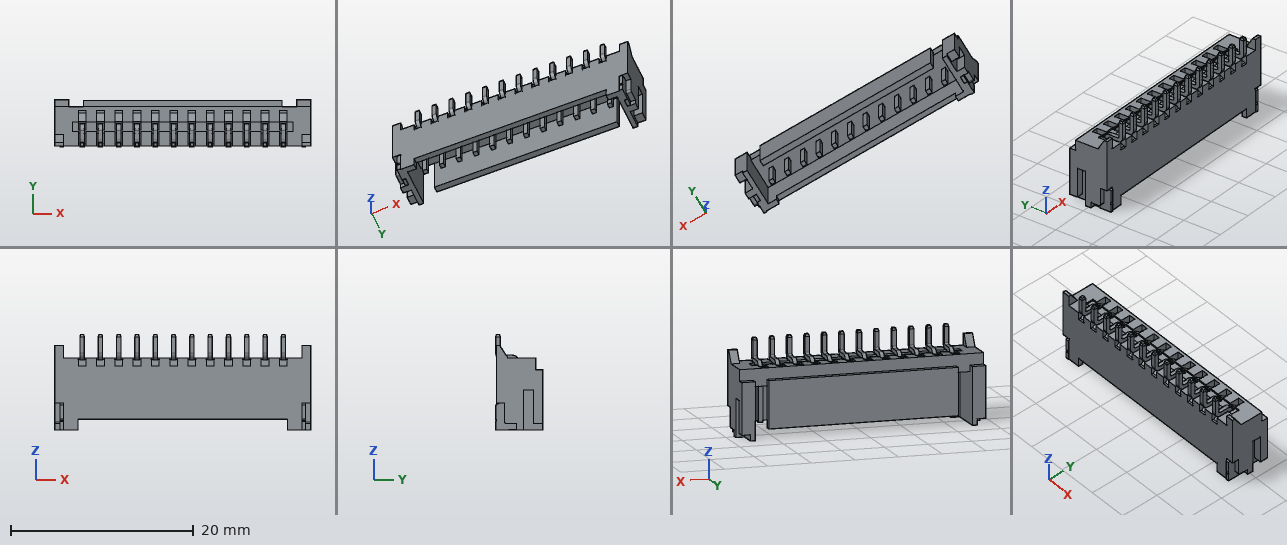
import cadquery as cq
import math

LENGTH = 28.0
HALF_LENGTH = LENGTH / 2
FRONT_Y = 0.08
DECK_BACK_Y = 4.4
BACK_Y = 5.18
DECK_Z = 7.9
SHELF_Z = 6.6
CORNER_BLOCK_LENGTH = 1.55
REAR_WALL_BACK_Y = 5.1
REAR_WALL_INSET = 3.15
FOOT_LENGTH = 2.58
FOOT_HEIGHT = 1.18

EAR_LENGTH = 0.98
EAR_TOP_Z = 9.25
EAR_TOP_BACK_Y = 0.48
EAR_BASE_BACK_Y = 1.35

CAVITY_FRONT_Y = 0.7
CAVITY_TOP_Z = 5.88

PIN_COUNT = 12
PITCH = LENGTH / (PIN_COUNT + 2)
PIN_WIDTH = 0.5
PIN_THICKNESS = 0.53
PIN_TOP_Z = 10.45
PIN_BOTTOM_Z = 1.4
TIP_HEIGHT = 0.25
TIP_INSET = 0.08
PIN_ARM_TOP_Z = 8.2
PIN_BACK_Y = 2.55
INNER_BEND = 0.22
OUTER_BEND = INNER_BEND + PIN_THICKNESS

GROOVE_LENGTH = 24.08
GROOVE_FRONT_Y = 1.7
GROOVE_BACK_Y = 2.75
GROOVE_FLOOR_Z = 7.7
SLOT_WIDTH = 0.85
SLOT_FLOOR_Z = 6.97
SLOT_BACK_Y = 4.0
RIDGE_FOOT_FRONT_Y = 0.35
RIDGE_TOP_FRONT_Y = 1.55
RIDGE_TOP_BACK_Y = 2.8
RIDGE_FOOT_BACK_Y = 3.72
PIN_WELL_FRONT_Y = 1.85
PIN_WELL_BACK_Y = 2.63
PIN_WELL_DEPTH = 0.55

END_RECESS_DEPTH = 0.98
KEYWAY_FRONT_Y = 3.05
KEYWAY_BACK_Y = 4.15
KEYWAY_TOP_Z = 4.4
END_FOOT_Z = 0.7
TAB_THICKNESS = 0.4
TAB_UPRIGHT_BACK_Y = 0.95
TAB_FOOT_BACK_Y = 2.3
TAB_TOP_Z = 2.97
TAB_CORNER_RADIUS = 0.25
TAB_BEVEL_Y = 0.45
TAB_BEVEL_HEIGHT = 0.25
TAB_NOTCH_Z = 1.05
TAB_NOTCH_DEPTH = 0.08
TAB_NOTCH_HALF_HEIGHT = 0.15
TAB_RELIEF_FRONT_Y = 1.45
TAB_RELIEF_HEIGHT = 0.08


def box(x0, x1, y0, y1, z0, z1):
    """Box between two opposite corners."""
    return cq.Workplane("XY").box(x1 - x0, y1 - y0, z1 - z0, centered=False).translate((x0, y0, z0))


def extrude_along_x(profile, x0, x1):
    """Extrude a closed YZ profile from x0 to x1."""
    return profile.extrude(x1 - x0).translate((x0, 0, 0))


def prism(points, x0, x1):
    """Straight-sided YZ outline extruded from x0 to x1."""
    return extrude_along_x(cq.Workplane("YZ").polyline(points).close(), x0, x1)


def with_mirror(solid):
    """Add the copy of a left-end feature at the right end."""
    return solid.union(solid.mirror("YZ"))


def make_shell():
    foot_inner_x = HALF_LENGTH - FOOT_LENGTH
    rear_wall_x = HALF_LENGTH - REAR_WALL_INSET
    cavity_x = HALF_LENGTH - CORNER_BLOCK_LENGTH
    corner_block = box(-HALF_LENGTH, -cavity_x, DECK_BACK_Y, BACK_Y, 0, SHELF_Z)
    rear_wall = box(-rear_wall_x, rear_wall_x, DECK_BACK_Y, REAR_WALL_BACK_Y, FOOT_HEIGHT, SHELF_Z)
    ear = prism(
        [
            (FRONT_Y, DECK_Z),
            (EAR_BASE_BACK_Y, DECK_Z),
            (EAR_TOP_BACK_Y, EAR_TOP_Z),
            (FRONT_Y, EAR_TOP_Z),
        ],
        -HALF_LENGTH,
        -HALF_LENGTH + EAR_LENGTH,
    )
    shell = box(-HALF_LENGTH, HALF_LENGTH, FRONT_Y, DECK_BACK_Y, 0, DECK_Z)
    shell = shell.union(with_mirror(corner_block)).union(rear_wall).union(with_mirror(ear))
    foot_gap = box(-foot_inner_x, foot_inner_x, 0, BACK_Y, 0, FOOT_HEIGHT)
    cavity = box(-cavity_x, cavity_x, CAVITY_FRONT_Y, DECK_BACK_Y, 0, CAVITY_TOP_Z)
    return shell.cut(foot_gap).cut(cavity)


def make_pin_slot(x):
    """Slot across the deck whose floor rises to a flat-topped ridge with a wedge-shaped pin well."""
    x0 = x - SLOT_WIDTH / 2
    x1 = x + SLOT_WIDTH / 2
    slot = prism(
        [
            (0, SLOT_FLOOR_Z),
            (RIDGE_FOOT_FRONT_Y, SLOT_FLOOR_Z),
            (RIDGE_TOP_FRONT_Y, GROOVE_FLOOR_Z),
            (RIDGE_TOP_BACK_Y, GROOVE_FLOOR_Z),
            (RIDGE_FOOT_BACK_Y, SLOT_FLOOR_Z),
            (SLOT_BACK_Y, SLOT_FLOOR_Z),
            (SLOT_BACK_Y, DECK_Z),
            (0, DECK_Z),
        ],
        x0,
        x1,
    )
    well = prism(
        [
            (PIN_WELL_FRONT_Y, GROOVE_FLOOR_Z),
            (PIN_WELL_FRONT_Y, GROOVE_FLOOR_Z - PIN_WELL_DEPTH),
            (PIN_WELL_BACK_Y, GROOVE_FLOOR_Z),
        ],
        x0,
        x1,
    )
    return slot.union(well)


def make_pin(x):
    """Pin that rises through the deck, runs forward and turns up to a tapered tip."""
    arm_bottom_z = PIN_ARM_TOP_Z - PIN_THICKNESS
    tip_base_z = PIN_TOP_Z - TIP_HEIGHT
    leg_front_y = PIN_BACK_Y - PIN_THICKNESS
    diagonal = math.sqrt(0.5)

    front_y = OUTER_BEND
    front_z = arm_bottom_z + OUTER_BEND
    rear_y = PIN_BACK_Y - OUTER_BEND
    rear_z = PIN_ARM_TOP_Z - OUTER_BEND

    def front_mid(radius):
        return front_y - radius * diagonal, front_z - radius * diagonal

    def rear_mid(radius):
        return rear_y + radius * diagonal, rear_z + radius * diagonal

    profile = (
        cq.Workplane("YZ")
        .moveTo(0, tip_base_z)
        .lineTo(0, front_z)
        .threePointArc(front_mid(OUTER_BEND), (front_y, arm_bottom_z))
        .lineTo(rear_y, arm_bottom_z)
        .threePointArc(rear_mid(INNER_BEND), (leg_front_y, rear_z))
        .lineTo(leg_front_y, PIN_BOTTOM_Z)
        .lineTo(PIN_BACK_Y, PIN_BOTTOM_Z)
        .lineTo(PIN_BACK_Y, rear_z)
        .threePointArc(rear_mid(OUTER_BEND), (rear_y, PIN_ARM_TOP_Z))
        .lineTo(front_y, PIN_ARM_TOP_Z)
        .threePointArc(front_mid(INNER_BEND), (PIN_THICKNESS, front_z))
        .lineTo(PIN_THICKNESS, tip_base_z)
        .close()
    )
    body = extrude_along_x(profile, x - PIN_WIDTH / 2, x + PIN_WIDTH / 2)
    tip = (
        cq.Workplane("XY", origin=(x, PIN_THICKNESS / 2, tip_base_z))
        .rect(PIN_WIDTH, PIN_THICKNESS)
        .workplane(offset=TIP_HEIGHT)
        .rect(PIN_WIDTH - 2 * TIP_INSET, PIN_THICKNESS - 2 * TIP_INSET)
        .loft(ruled=True)
    )
    return body.union(tip)


def make_keyway():
    """Inverted L recess in the left end, open at the bottom and at the rear foot."""
    return prism(
        [
            (KEYWAY_FRONT_Y, 0),
            (KEYWAY_FRONT_Y, KEYWAY_TOP_Z),
            (KEYWAY_BACK_Y, KEYWAY_TOP_Z),
            (KEYWAY_BACK_Y, END_FOOT_Z),
            (BACK_Y, END_FOOT_Z),
            (BACK_Y, 0),
        ],
        -HALF_LENGTH,
        -HALF_LENGTH + END_RECESS_DEPTH,
    )


def make_tab_blank(x0, x1):
    """L-shaped block with a rounded inner corner."""
    block = prism(
        [
            (0, 0),
            (TAB_FOOT_BACK_Y, 0),
            (TAB_FOOT_BACK_Y, END_FOOT_Z),
            (TAB_UPRIGHT_BACK_Y, END_FOOT_Z),
            (TAB_UPRIGHT_BACK_Y, TAB_TOP_Z),
            (0, TAB_TOP_Z),
        ],
        x0,
        x1,
    )
    corner = cq.selectors.NearestToPointSelector(((x0 + x1) / 2, TAB_UPRIGHT_BACK_Y, END_FOOT_Z))
    return block.edges(corner).fillet(TAB_CORNER_RADIUS)


def make_solder_tab():
    """Left solder tab with a bevelled top, a V notch in front and a relieved underside."""
    x1 = -HALF_LENGTH + END_RECESS_DEPTH
    x0 = x1 - TAB_THICKNESS
    bevel = prism(
        [
            (0, TAB_TOP_Z - TAB_BEVEL_HEIGHT),
            (TAB_BEVEL_Y, TAB_TOP_Z),
            (0, TAB_TOP_Z),
        ],
        x0,
        x1,
    )
    notch = prism(
        [
            (0, TAB_NOTCH_Z - TAB_NOTCH_HALF_HEIGHT),
            (TAB_NOTCH_DEPTH, TAB_NOTCH_Z),
            (0, TAB_NOTCH_Z + TAB_NOTCH_HALF_HEIGHT),
        ],
        x0,
        x1,
    )
    relief = box(x0, x1, TAB_RELIEF_FRONT_Y, TAB_FOOT_BACK_Y, 0, TAB_RELIEF_HEIGHT)
    return make_tab_blank(x0, x1).cut(bevel).cut(notch).cut(relief)


pin_positions = [(i - (PIN_COUNT - 1) / 2) * PITCH for i in range(PIN_COUNT)]

housing = make_shell()
tab_pocket = make_tab_blank(-HALF_LENGTH, -HALF_LENGTH + END_RECESS_DEPTH)
housing = housing.cut(with_mirror(make_keyway())).cut(with_mirror(tab_pocket))

groove_x = GROOVE_LENGTH / 2
groove = box(-groove_x, groove_x, GROOVE_FRONT_Y, GROOVE_BACK_Y, GROOVE_FLOOR_Z, DECK_Z)
housing = housing.cut(groove)
for x in pin_positions:
    housing = housing.cut(make_pin_slot(x))

result = housing.union(with_mirror(make_solder_tab()))
for x in pin_positions:
    result = result.union(make_pin(x))

result = result.translate((0, -BACK_Y / 2, -PIN_TOP_Z / 2))